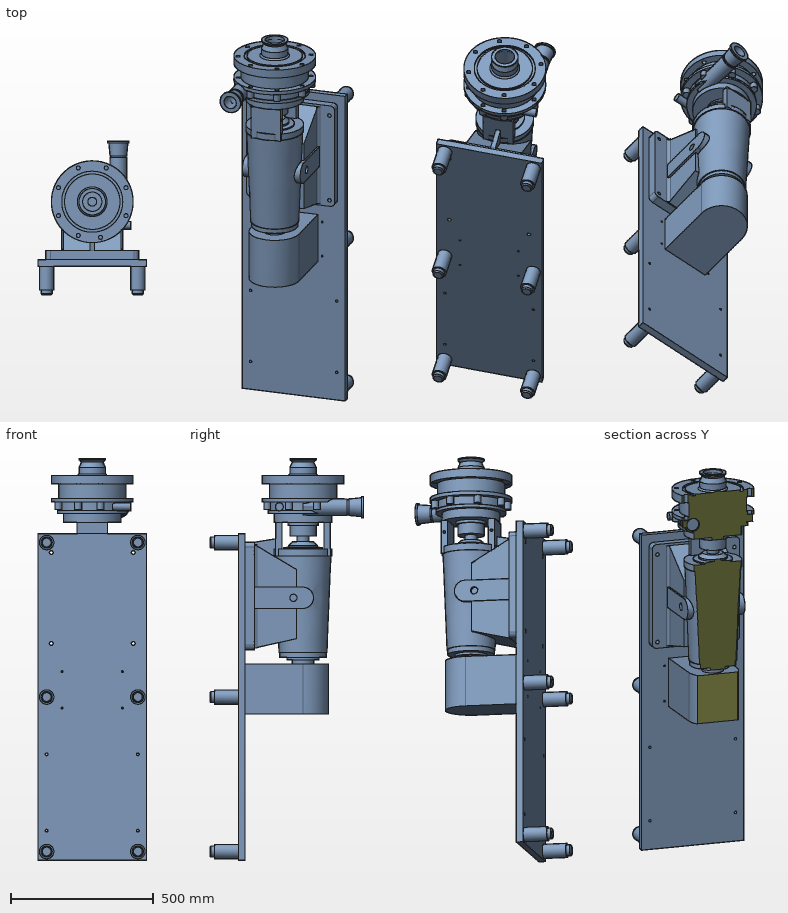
import cadquery as cq
import math


plate_width = 382.0
plate_height = 1145.0
plate_thickness = 24.0
plate_face_y = -203.0
plate_back_y = plate_face_y - plate_thickness

foot_inset = 31.0
foot_radius = 25.0
foot_length = 83.0
foot_tip_radius = 20.0
foot_tip_length = 17.0
foot_tip_chamfer = 4.0
foot_x = plate_width / 2 - foot_inset
foot_heights = [foot_inset, plate_height / 2, plate_height - foot_inset]

pump_bolt_x = 144.0
pump_bolt_heights = [760.0, 1079.0]
pump_bolt_diameter = 13.0
guard_screw_x = 105.0
guard_screw_heights = [534.0, 662.0]
guard_screw_diameter = 5.0
spare_hole_heights = [104.0, 372.0]
spare_hole_diameter = 8.0

guard_radius = 90.0
guard_bottom = 513.0
guard_top = 689.0

inlet_top = 1408.0
cover_top = 1349.0
cover_bottom = 1320.0
rear_flange_top = 1269.0
rear_flange_bottom = 1256.0
collar_top = 1227.0
collar_bottom = 1215.0
adapter_bottom = 1185.0
hub_bottom = 1137.0

inlet_radius = 46.0
inlet_neck_radius = 38.0
inlet_bore_radius = 34.0
inlet_nut_radius = 15.0
inlet_nut_height = 8.0
inlet_bore_depth = 77.0
head_flange_radius = 144.0
casing_radius = 118.0
collar_radius = 123.0
adapter_radius = 101.0
seal_ring_radius = 54.0
seal_ring_height = 10.0
hub_radius = 46.0
shaft_radius = 21.0
cover_groove_inner = 97.0
cover_groove_outer = 107.0
cover_groove_depth = 5.0

bolt_circle_radius = 128.0
bolt_hole_diameter = 14.0
bolt_angles = [22.5 + 45 * i for i in range(8) if i != 6] + [283.0]
nut_radius = 13.0
nut_height = 27.0

outlet_x = 92.0
outlet_z = 1238.0
outlet_end_y = 213.0
outlet_flange_radius = 38.0
outlet_flange_thickness = 7.0
outlet_cone_length = 45.0
outlet_cone_radius = 34.0
outlet_pipe_radius = 30.0
outlet_groove_radius = 27.0
outlet_groove_width = 5.0
outlet_bore_radius = 23.0
outlet_bore_depth = 169.0

drain_radius = 14.0
drain_end_x = 135.0
drain_start_x = 70.0
drain_y = -83.0
drain_z = 1240.0

frame_top = 1092.0
frame_lip_bottom = 1068.0
frame_bottom = 728.0
frame_lip_radius = 101.0
frame_top_radius = 99.0
frame_bottom_radius = 85.0
end_cover_radius = 82.0
end_cover_height = 17.0

arm_width = 108.0
arm_inner_y = 73.0
arm_thickness = 23.0
arm_hole_diameter = 8.0
arm_hole_depth = 8.0
arm_hole_z = 1144.0

pedestal_half_width = 100.0
pedestal_front_y = -23.0
pedestal_rear_y = -170.0
pedestal_front_heights = [777.0, 1020.0]
pedestal_rear_heights = [744.0, 1107.0]
sole_half_width = 163.0
sole_bottom = 738.0
sole_top = 1115.0
sole_corner_radius = 17.0
toe_fillet = 10.0
rib_width = 17.0
rib_front_z = 1130.0

pad_outer_x = 107.0
pad_inner_x = 56.0
pad_front_y = 37.0
pad_bottom = 883.0
pad_top = 958.0
pad_hole_y = -34.0
pad_hole_diameter = 25.0
pad_hole_depth = 14.0


def cylinder_z(radius, bottom, top):
    return cq.Workplane("XY", origin=(0, 0, bottom)).circle(radius).extrude(top - bottom)


def revolve_about_z(profile):
    """Turn a closed list of (radius, z) points about the shaft axis."""
    return cq.Workplane("XZ").polyline(profile).close().revolve(360, (0, 0, 0), (0, 1, 0))


def box_between(x_range, y_range, z_range):
    corner = (x_range[0], y_range[0], z_range[0])
    sizes = [high - low for low, high in (x_range, y_range, z_range)]
    return cq.Workplane("XY").box(*sizes, centered=False).translate(corner)


def pins_along_y(points, diameter, start_y, length):
    """Cylinders at (x, z) points that run from start_y toward -Y."""
    plane = cq.Workplane("XZ", origin=(0, start_y, 0))
    return plane.pushPoints(points).circle(diameter / 2).extrude(length)


def mirrored_points(x, heights):
    return [(side * x, z) for side in (-1, 1) for z in heights]


def make_base_plate():
    half_width = plate_width / 2
    plate = box_between((-half_width, half_width), (plate_back_y, plate_face_y), (0, plate_height))
    hole_groups = [
        (pump_bolt_x, pump_bolt_heights, pump_bolt_diameter),
        (guard_screw_x, guard_screw_heights, guard_screw_diameter),
        (foot_x, spare_hole_heights, spare_hole_diameter),
    ]
    for x, heights, diameter in hole_groups:
        plate = plate.cut(pins_along_y(mirrored_points(x, heights), diameter, plate_face_y, plate_thickness))
    return plate


def make_foot(x, z):
    leg = cq.Workplane("XZ", origin=(x, plate_back_y, z)).circle(foot_radius).extrude(foot_length)
    tip = leg.faces("<Y").workplane().circle(foot_tip_radius).extrude(foot_tip_length)
    return tip.faces("<Y").chamfer(foot_tip_chamfer)


def make_guard():
    plane = cq.Workplane("XY", origin=(0, 0, guard_bottom))
    outline = (
        plane.moveTo(-guard_radius, plate_face_y)
        .lineTo(-guard_radius, 0)
        .threePointArc((0, guard_radius), (guard_radius, 0))
        .lineTo(guard_radius, plate_face_y)
        .close()
    )
    return outline.extrude(guard_top - guard_bottom)


def make_pump_head():
    return revolve_about_z([
        (0, inlet_top),
        (inlet_radius, inlet_top),
        (inlet_radius, inlet_top - 4.0),
        (inlet_neck_radius, inlet_top - 13.0),
        (inlet_radius, inlet_top - 31.0),
        (inlet_radius, cover_top + 5.0),
        (inlet_radius + 5.0, cover_top),
        (head_flange_radius, cover_top),
        (head_flange_radius, cover_bottom),
        (casing_radius, cover_bottom),
        (casing_radius, rear_flange_top),
        (head_flange_radius, rear_flange_top),
        (head_flange_radius, rear_flange_bottom),
        (casing_radius, rear_flange_bottom),
        (casing_radius, collar_top),
        (collar_radius, collar_top),
        (collar_radius, collar_bottom),
        (adapter_radius, collar_bottom),
        (adapter_radius, adapter_bottom),
        (seal_ring_radius, adapter_bottom),
        (seal_ring_radius, adapter_bottom - seal_ring_height),
        (hub_radius, adapter_bottom - seal_ring_height),
        (hub_radius, hub_bottom),
        (0, hub_bottom),
    ])


def make_head_nuts():
    plane = cq.Workplane("XY", origin=(0, 0, rear_flange_bottom - nut_height))
    return plane.pushPoints(bolt_points()).circle(nut_radius).extrude(nut_height)


def bolt_points():
    angles = [math.radians(angle) for angle in bolt_angles]
    return [(bolt_circle_radius * math.cos(a), bolt_circle_radius * math.sin(a)) for a in angles]


def make_head_bolt_holes():
    plane = cq.Workplane("XY", origin=(0, 0, rear_flange_bottom))
    return plane.pushPoints(bolt_points()).circle(bolt_hole_diameter / 2).extrude(cover_top - rear_flange_bottom)


def make_cover_groove():
    plane = cq.Workplane("XY", origin=(0, 0, cover_top - cover_groove_depth))
    return plane.circle(cover_groove_outer).circle(cover_groove_inner).extrude(cover_groove_depth)


def make_inlet_bore():
    floor = inlet_top - inlet_bore_depth
    bore = cylinder_z(inlet_bore_radius, floor, inlet_top)
    return bore.cut(cylinder_z(inlet_nut_radius, floor, floor + inlet_nut_height))


def make_outlet():
    flange_y = outlet_end_y - outlet_flange_thickness
    groove_y = flange_y - outlet_cone_length
    pipe_y = groove_y - outlet_groove_width
    profile = [
        (0, outlet_end_y),
        (outlet_flange_radius, outlet_end_y),
        (outlet_flange_radius, flange_y),
        (outlet_cone_radius, flange_y),
        (outlet_pipe_radius, groove_y),
        (outlet_groove_radius, groove_y),
        (outlet_groove_radius, pipe_y),
        (outlet_pipe_radius, pipe_y),
        (outlet_pipe_radius, 0),
        (0, 0),
    ]
    outlet = cq.Workplane("XY").polyline(profile).close().revolve(360, (0, 0, 0), (0, 1, 0))
    return outlet.translate((outlet_x, 0, outlet_z))


def make_outlet_bore():
    return pins_along_y([(outlet_x, outlet_z)], 2 * outlet_bore_radius, outlet_end_y, outlet_bore_depth)


def make_drain_boss():
    plane = cq.Workplane("YZ", origin=(drain_start_x, drain_y, drain_z))
    return plane.circle(drain_radius).extrude(drain_end_x - drain_start_x)


def make_shaft():
    return cylinder_z(shaft_radius, guard_top, hub_bottom)


def make_bearing_frame():
    return revolve_about_z([
        (0, frame_top + 25.0),
        (37.0, frame_top + 25.0),
        (50.0, frame_top + 13.0),
        (50.0, frame_top + 7.0),
        (69.0, frame_top + 4.0),
        (69.0, frame_top),
        (frame_lip_radius, frame_top),
        (frame_lip_radius, frame_lip_bottom),
        (frame_top_radius, frame_lip_bottom),
        (frame_bottom_radius, frame_bottom),
        (end_cover_radius, frame_bottom),
        (end_cover_radius, frame_bottom - end_cover_height),
        (56.0, frame_bottom - end_cover_height),
        (56.0, frame_bottom - end_cover_height - 8.0),
        (38.0, frame_bottom - end_cover_height - 8.0),
        (38.0, guard_top),
        (0, guard_top),
    ])


def make_arm(side):
    near_y = side * arm_inner_y
    far_y = side * (arm_inner_y + arm_thickness)
    half_width = arm_width / 2
    arm = box_between((-half_width, half_width), sorted((near_y, far_y)), (frame_lip_bottom, adapter_bottom))
    hole = (
        cq.Workplane("YZ", origin=(-half_width, (near_y + far_y) / 2, arm_hole_z))
        .circle(arm_hole_diameter / 2)
        .extrude(arm_hole_depth)
    )
    return arm.cut(hole)


def make_pedestal():
    front_low, front_high = pedestal_front_heights
    rear_low, rear_high = pedestal_rear_heights
    return (
        cq.Workplane("YZ")
        .moveTo(pedestal_front_y, front_low)
        .lineTo(pedestal_front_y, front_high)
        .lineTo(pedestal_rear_y, rear_high)
        .lineTo(pedestal_rear_y, rear_low)
        .close()
        .extrude(pedestal_half_width, both=True)
    )


def make_sole():
    sole = box_between(
        (-sole_half_width, sole_half_width), (plate_face_y, pedestal_rear_y), (sole_bottom, sole_top)
    )
    return sole.edges("|Y").fillet(sole_corner_radius)


def make_toe_fillets():
    """Round the corners where the pedestal sides meet the sole."""
    low, high = pedestal_rear_heights
    toe = (
        cq.Workplane("XY", origin=(0, 0, low))
        .moveTo(pedestal_half_width, pedestal_rear_y)
        .lineTo(pedestal_half_width + toe_fillet, pedestal_rear_y)
        .radiusArc((pedestal_half_width, pedestal_rear_y + toe_fillet), toe_fillet)
        .close()
        .extrude(high - low)
    )
    return toe.union(toe.mirror("YZ"))


def make_rib():
    """Upright rib on the centre plane, from the lower arm to the top of the sole."""
    rib_front_y = -arm_inner_y - arm_thickness / 2
    return (
        cq.Workplane("YZ")
        .moveTo(rib_front_y, frame_lip_bottom)
        .lineTo(rib_front_y, rib_front_z)
        .lineTo(pedestal_rear_y, sole_top)
        .lineTo(pedestal_rear_y, frame_lip_bottom)
        .close()
        .extrude(rib_width / 2, both=True)
    )


def make_pad():
    """Pad on the -X side with a round front end and a blind tapped hole."""
    pad_radius = (pad_top - pad_bottom) / 2
    pad_middle = (pad_top + pad_bottom) / 2
    arc_y = pad_front_y - pad_radius
    pad = (
        cq.Workplane("YZ", origin=(-pad_outer_x, 0, 0))
        .moveTo(pedestal_rear_y, pad_bottom)
        .lineTo(arc_y, pad_bottom)
        .threePointArc((pad_front_y, pad_middle), (arc_y, pad_top))
        .lineTo(pedestal_rear_y, pad_top)
        .close()
        .extrude(pad_outer_x - pad_inner_x)
    )
    hole = (
        cq.Workplane("YZ", origin=(-pad_outer_x, pad_hole_y, pad_middle))
        .circle(pad_hole_diameter / 2)
        .extrude(pad_hole_depth)
    )
    return pad, hole


def make_pump():
    pump = make_pump_head().union(make_head_nuts()).union(make_outlet()).union(make_drain_boss())
    pump = pump.cut(make_head_bolt_holes()).cut(make_cover_groove())
    pump = pump.cut(make_inlet_bore()).cut(make_outlet_bore())
    pump = pump.union(make_shaft()).union(make_bearing_frame())
    for side in (-1, 1):
        pump = pump.union(make_arm(side))
    pump = pump.union(make_pedestal()).union(make_sole()).union(make_toe_fillets()).union(make_rib())
    pad, pad_hole = make_pad()
    pump = pump.union(pad).union(pad.mirror("YZ"))
    pump = pump.cut(pad_hole).cut(pad_hole.mirror("YZ"))
    sole_holes = pins_along_y(
        mirrored_points(pump_bolt_x, pump_bolt_heights),
        pump_bolt_diameter,
        pedestal_rear_y,
        pedestal_rear_y - plate_face_y,
    )
    return pump.cut(sole_holes)


base_plate = make_base_plate()
feet = [make_foot(x, z).val() for x, z in mirrored_points(foot_x, foot_heights)]
guard = make_guard()
pump = make_pump()

result = cq.Compound.makeCompound([base_plate.val(), *feet, guard.val(), pump.val()])